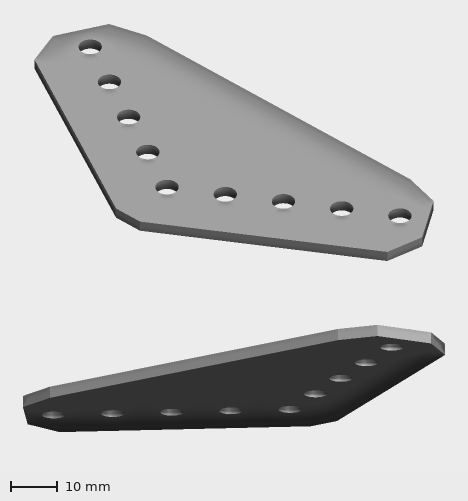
import cadquery as cq
import math

thickness = 2.5
hole_diameter = 5.0
hole_pitch = 12.7
holes_per_arm = 5
half_width = 12.7
arm_length = 56.9
end_chamfer = 6.35
arm_angles = (180, 60)


def arm_point(angle, along, left):
    """Point at a distance along an arm and to the left of its direction."""
    a = math.radians(angle)
    x = along * math.cos(a) - left * math.sin(a)
    y = along * math.sin(a) + left * math.cos(a)
    return x, y


def arm_outline(angle, outer_side):
    """Corners of one arm from the outer elbow to the inner edge.

    The elbow flat lies half_width from the pivot, like the two outer edges,
    and turns through half the angle between them.

    outer_side is +1 where the outer edge lies left of the arm direction.
    """
    elbow_turn = math.radians(180 - (arm_angles[0] - arm_angles[1]))
    elbow_setback = half_width * math.tan(elbow_turn / 4)
    outer = outer_side * half_width
    outer_end = outer_side * (half_width - end_chamfer)
    shoulder = arm_length - end_chamfer
    return [
        arm_point(angle, -elbow_setback, outer),
        arm_point(angle, shoulder, outer),
        arm_point(angle, arm_length, outer_end),
        arm_point(angle, arm_length, -outer_end),
        arm_point(angle, shoulder, -outer),
    ]


def make_plate():
    """Flat plate; its long upper edge joins the inner corners of the arms."""
    first_arm = arm_outline(arm_angles[0], 1)
    second_arm = arm_outline(arm_angles[1], -1)
    outline = first_arm + second_arm[::-1]
    return cq.Workplane("XY").polyline(outline).close().extrude(thickness)


def hole_centres():
    """Pivot hole followed by the remaining holes of each arm."""
    centres = [(0, 0)]
    for angle in arm_angles:
        for i in range(1, holes_per_arm):
            centres.append(arm_point(angle, i * hole_pitch, 0))
    return centres


def drill_holes(plate):
    """Cut the two rows of through holes."""
    top_face = plate.faces(">Z").workplane(origin=(0, 0, thickness))
    return top_face.pushPoints(hole_centres()).hole(hole_diameter)


result = drill_holes(make_plate())